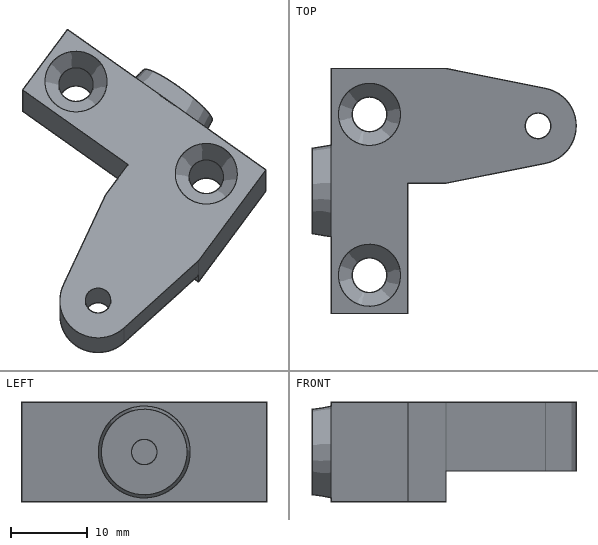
import cadquery as cq
import math

length = 34.5
block_depth = 32.0
height = 13.0
boss_length = 2.5
block_width = 10.0

arm_width = 15.0
arm_thickness = 9.0
shoulder_end = 17.5
tip_radius = 5.0

pin_hole_diameter = 3.3
screw_diameter = 4.5
countersink_diameter = 8.1
countersink_angle = 90.0
screw_inset_back = 6.0
screw_inset_front = 5.0
boss_base_diameter = 12.0
boss_face_diameter = 11.18
boss_hole_depth = 10.0

back = block_depth / 2
front = -back
top = height / 2
bottom = -top
block_end = boss_length + block_width
screw_x = boss_length + block_width / 2
arm_y = back - arm_width / 2
tip_x = length - tip_radius


def make_block():
    """L-shaped full-height body: the mounting block and the arm shoulder."""
    outline = [
        (boss_length, front),
        (block_end, front),
        (block_end, back - arm_width),
        (shoulder_end, back - arm_width),
        (shoulder_end, back),
        (boss_length, back),
    ]
    return cq.Workplane("XY", origin=(0, 0, bottom)).polyline(outline).close().extrude(height)


def make_tongue():
    """Tapered tongue whose straight sides are tangent to the rounded tip."""
    run = tip_x - shoulder_end
    half_width = arm_width / 2
    corner_angle = math.atan2(half_width, -run)
    tangent_angle = corner_angle - math.acos(tip_radius / math.hypot(run, half_width))
    tangent_x = tip_x + tip_radius * math.cos(tangent_angle)
    tangent_rise = tip_radius * math.sin(tangent_angle)
    return (
        cq.Workplane("XY", origin=(0, 0, top - arm_thickness))
        .moveTo(shoulder_end, arm_y - half_width)
        .lineTo(tangent_x, arm_y - tangent_rise)
        .threePointArc((length, arm_y), (tangent_x, arm_y + tangent_rise))
        .lineTo(shoulder_end, arm_y + half_width)
        .close()
        .extrude(arm_thickness)
    )


def make_boss():
    """Conical boss, narrowing away from the block."""
    return (
        cq.Workplane("YZ")
        .circle(boss_face_diameter / 2)
        .workplane(offset=boss_length)
        .circle(boss_base_diameter / 2)
        .loft()
    )


body = make_block().union(make_tongue()).union(make_boss())

screw_points = [(screw_x, back - screw_inset_back), (screw_x, front + screw_inset_front)]
body = (
    body.copyWorkplane(cq.Workplane("XY", origin=(0, 0, top)))
    .pushPoints(screw_points)
    .cskHole(screw_diameter, countersink_diameter, countersink_angle)
)

pin_hole = cq.Workplane("XY", origin=(tip_x, arm_y, bottom)).circle(pin_hole_diameter / 2).extrude(height)
boss_hole = cq.Workplane("YZ").circle(pin_hole_diameter / 2).extrude(boss_hole_depth)

result = body.cut(pin_hole).cut(boss_hole)